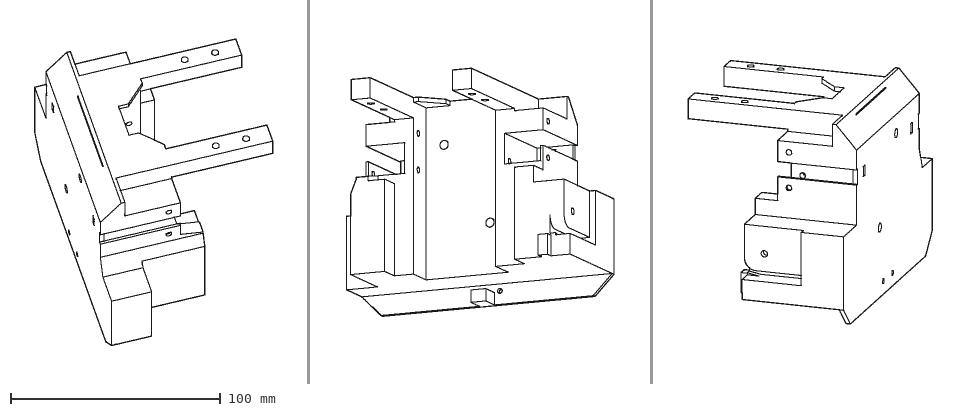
import cadquery as cq
LENGTH = 131.0
DEPTH = 90.0
HEIGHT = 96.0
CENTRE_X = LENGTH / 2

PLATE_THICKNESS = 2.2
CORNER_CHAMFER = 10.0
BODY_BOTTOM = CORNER_CHAMFER
UPPER_LEFT = 19.1
UPPER_RIGHT = LENGTH - UPPER_LEFT
UPPER_BACK = 39.8
LEDGE_HEIGHT = 85.0
LEDGE_FRONT = 12.2
BEVEL_DEPTH = 10.3
BEVEL_HEIGHT = 11.7
BEVEL_FOOT = HEIGHT - BEVEL_HEIGHT

GROOVE_LENGTH = 43.2
GROOVE_WIDTH = 0.4
GROOVE_HEIGHT = 93.9
GROOVE_DEPTH = 1.3

BLOCK_BACK = 51.1
LEFT_TOP = 46.8
RIGHT_TOP = 45.8
RIGHT_BACK = 19.9
RIGHT_WALL = 114.8
SLANT_FOOT = 116.2
SLANT_TOP = 56.2

ARM_WIDTH = 10.0
ARM_THICKNESS = 10.0
ARM_OUTER = 34.0
ARM_INNER = ARM_OUTER + ARM_WIDTH
ARM_HOLE_DIAMETER = 3.3
ARM_HOLE_POSITIONS = (63.1, 78.2)
THROAT_MOUTH = 37.7
THROAT_WIDTH = 17.8
THROAT_FRONT = 25.2
THROAT_SHOULDER = 30.0
BRIDGE_THICKNESS = PLATE_THICKNESS

STEP_TOP = 54.9
LEFT_STEP_END = 29.0
RIGHT_STEP_START = LENGTH - ARM_OUTER
RAMP_WIDTH = 6.3
RAMP_DROP = 2.4

SLOT_BOTTOM = 66.8
SLOT_TOP = 74.4
SLOT_FLOOR = 59.5
SLOT_LIP = 1.3
SLOT_END = 39.3
WINDOW_WIDTH = 2.2
WINDOW_HEIGHT = 5.0
WINDOW_OFFSET = 34.7
WINDOW_CENTRE_HEIGHT = 70.5

RECESS_FRONT = 21.4
RECESS_BOTTOM = 20.0
RECESS_DEPTH = 3.1
UNDERCUT_DEPTH = 10.5
PAD_BOTTOM = 24.1
PAD_RADIUS = 5.9
FLOOR_WEDGE_SIDE = 7.6
FLOOR_WEDGE_LENGTH = 5.9
FLOOR_WEDGE_RISE = 1.0
PAD_HOLE_DIAMETER = 3.1
PAD_HOLE_DEPTH = 3.0
PAD_HOLE_Y = 41.0
PAD_HOLE_Z = 33.0

TAB_LEFT = 10.0
TAB_WIDTH = 5.0
TAB_BACK = 55.2
LUG_WIDTH = 7.9
LUG_HEIGHT = 6.0

PLATE_HOLE_DIAMETER = 4.3
PLATE_HOLES = ((77.5, 74.9), (53.6, 35.0))
SCREW_HOLE_DIAMETER = 2.4
SCREW_HOLE_SPACING = 13.5
SCREW_HOLE_HEIGHT = 6.5
CROSS_HOLE_DIAMETER = 2.8
CROSS_HOLE_Y = 34.0
CROSS_HOLE_HEIGHTS = (61.8, 79.6)


def box(x_range, y_range, z_range):
    """Box spanning the given ranges."""
    size = [high - low for low, high in (x_range, y_range, z_range)]
    corner = (x_range[0], y_range[0], z_range[0])
    return cq.Workplane("XY").box(*size, centered=False).translate(corner)


def mirrored(solid):
    """Left-hand solid together with its mirror image across the middle of the length."""
    return solid.union(solid.mirror("YZ", (CENTRE_X, 0, 0)))


def hole_along_y(x, z, diameter):
    """Round cutter running through the full depth."""
    return cq.Workplane("XZ", origin=(x, 0, z)).circle(diameter / 2).extrude(-DEPTH)


def front_plate():
    outline = [
        (CORNER_CHAMFER, 0),
        (LENGTH - CORNER_CHAMFER, 0),
        (LENGTH, CORNER_CHAMFER),
        (LENGTH, RIGHT_TOP),
        (SLANT_FOOT, RIGHT_TOP),
        (UPPER_RIGHT, SLANT_TOP),
        (UPPER_RIGHT, BEVEL_FOOT),
        (UPPER_LEFT, BEVEL_FOOT),
        (UPPER_LEFT, LEFT_TOP),
        (0, LEFT_TOP),
        (0, CORNER_CHAMFER),
    ]
    return cq.Workplane("XZ").polyline(outline).close().extrude(-PLATE_THICKNESS)


def lower_body():
    left = box((0, LEFT_STEP_END), (0, BLOCK_BACK), (BODY_BOTTOM, LEFT_TOP))
    left_step = box((UPPER_LEFT, LEFT_STEP_END), (0, BLOCK_BACK), (BODY_BOTTOM, STEP_TOP))
    right_outline = [
        (RIGHT_STEP_START, BODY_BOTTOM),
        (LENGTH, BODY_BOTTOM),
        (LENGTH, RIGHT_TOP),
        (SLANT_FOOT, RIGHT_TOP),
        (UPPER_RIGHT, SLANT_TOP),
        (UPPER_RIGHT, STEP_TOP),
        (RIGHT_STEP_START, STEP_TOP),
    ]
    right = cq.Workplane("XZ").polyline(right_outline).close().extrude(-BLOCK_BACK)
    right = right.cut(box((RIGHT_WALL, LENGTH), (RIGHT_BACK, BLOCK_BACK), (0, HEIGHT)))
    ramp_outline = [
        (UPPER_BACK, STEP_TOP),
        (BLOCK_BACK, STEP_TOP),
        (BLOCK_BACK, SLOT_FLOOR - RAMP_DROP),
        (UPPER_BACK, SLOT_FLOOR),
    ]
    ramp = (
        cq.Workplane("YZ", origin=(UPPER_RIGHT - RAMP_WIDTH, 0, 0))
        .polyline(ramp_outline)
        .close()
        .extrude(RAMP_WIDTH)
    )
    return left.union(left_step).union(right).union(ramp)


def upper_body():
    profile = [
        (0, BODY_BOTTOM),
        (UPPER_BACK, BODY_BOTTOM),
        (UPPER_BACK, LEDGE_HEIGHT),
        (LEDGE_FRONT, LEDGE_HEIGHT),
        (LEDGE_FRONT, HEIGHT),
        (BEVEL_DEPTH, HEIGHT),
        (0, BEVEL_FOOT),
    ]
    return (
        cq.Workplane("YZ", origin=(UPPER_LEFT, 0, 0))
        .polyline(profile)
        .close()
        .extrude(UPPER_RIGHT - UPPER_LEFT)
    )


def arms():
    bridge = box((ARM_OUTER, LENGTH - ARM_OUTER), (LEDGE_FRONT, UPPER_BACK), (LEDGE_HEIGHT, HEIGHT))
    arm = box((ARM_OUTER, ARM_INNER), (LEDGE_FRONT, DEPTH), (HEIGHT - ARM_THICKNESS, HEIGHT))
    return bridge.union(mirrored(arm))


def tab():
    return box((TAB_LEFT, TAB_LEFT + TAB_WIDTH), (BLOCK_BACK, TAB_BACK), (BODY_BOTTOM, RECESS_BOTTOM))


def lug():
    x_range = (CENTRE_X - LUG_WIDTH / 2, CENTRE_X + LUG_WIDTH / 2)
    return box(x_range, (0, LEDGE_FRONT), (0, LUG_HEIGHT))


def throat():
    outline = [
        (CENTRE_X - THROAT_MOUTH / 2, UPPER_BACK),
        (CENTRE_X - THROAT_WIDTH / 2, THROAT_SHOULDER),
        (CENTRE_X - THROAT_WIDTH / 2, THROAT_FRONT),
        (CENTRE_X + THROAT_WIDTH / 2, THROAT_FRONT),
        (CENTRE_X + THROAT_WIDTH / 2, THROAT_SHOULDER),
        (CENTRE_X + THROAT_MOUTH / 2, UPPER_BACK),
    ]
    return cq.Workplane("XY").polyline(outline).close().extrude(HEIGHT)


def cavity():
    """Clearance below the bridge, as wide as the gap between the arms and open at the back."""
    x_range = (ARM_INNER, LENGTH - ARM_INNER)
    return box(x_range, (THROAT_FRONT, UPPER_BACK), (0, HEIGHT - BRIDGE_THICKNESS))


def side_slots():
    """Cutters that leave a thin upright lip along the outer edge of each slot's lowered floor."""
    inside = UPPER_LEFT + SLOT_LIP
    plate_notch = box((UPPER_LEFT, inside), (0, PLATE_THICKNESS), (SLOT_BOTTOM, SLOT_TOP))
    opening = box((UPPER_LEFT, SLOT_END), (PLATE_THICKNESS, UPPER_BACK), (SLOT_BOTTOM, SLOT_TOP))
    pocket = box((inside, SLOT_END), (PLATE_THICKNESS, UPPER_BACK), (SLOT_FLOOR, SLOT_TOP))
    window = cq.Workplane("XY").box(WINDOW_WIDTH, 2 * PLATE_THICKNESS, WINDOW_HEIGHT)
    window = window.translate((CENTRE_X - WINDOW_OFFSET, PLATE_THICKNESS, WINDOW_CENTRE_HEIGHT))
    return mirrored(plate_notch.union(opening).union(pocket).union(window))


def left_recess():
    """Cutter for the recess: the pad and a small wedge on the undercut's floor stay standing."""
    recess = box((0, UNDERCUT_DEPTH), (RECESS_FRONT, BLOCK_BACK), (RECESS_BOTTOM, LEFT_TOP))
    pad = box((RECESS_DEPTH, UNDERCUT_DEPTH), (RECESS_FRONT, BLOCK_BACK), (PAD_BOTTOM, LEFT_TOP))
    pad = pad.edges("|X and >Y and <Z").fillet(PAD_RADIUS)
    pad_hole = (
        cq.Workplane("YZ", origin=(RECESS_DEPTH, PAD_HOLE_Y, PAD_HOLE_Z))
        .circle(PAD_HOLE_DIAMETER / 2)
        .extrude(PAD_HOLE_DEPTH)
    )
    wedge_outline = [
        (BLOCK_BACK - FLOOR_WEDGE_LENGTH, RECESS_BOTTOM),
        (BLOCK_BACK, RECESS_BOTTOM),
        (BLOCK_BACK, RECESS_BOTTOM + FLOOR_WEDGE_RISE),
    ]
    floor_wedge = (
        cq.Workplane("YZ", origin=(FLOOR_WEDGE_SIDE, 0, 0))
        .polyline(wedge_outline)
        .close()
        .extrude(UNDERCUT_DEPTH - FLOOR_WEDGE_SIDE)
    )
    return recess.cut(pad).cut(floor_wedge).union(pad_hole)


def bevel_groove():
    y = (GROOVE_HEIGHT - BEVEL_FOOT) * BEVEL_DEPTH / BEVEL_HEIGHT
    outward = (0, -BEVEL_HEIGHT, BEVEL_DEPTH)
    face = cq.Plane(origin=(CENTRE_X, y, GROOVE_HEIGHT), xDir=(1, 0, 0), normal=outward)
    return cq.Workplane(face).rect(GROOVE_LENGTH, GROOVE_WIDTH).extrude(-GROOVE_DEPTH)


result = front_plate()
for feature in (lower_body(), upper_body(), arms(), tab(), lug()):
    result = result.union(feature)
for cutter in (throat(), cavity(), side_slots(), left_recess(), bevel_groove()):
    result = result.cut(cutter)

for x, z in PLATE_HOLES:
    result = result.cut(hole_along_y(x, z, PLATE_HOLE_DIAMETER))
for side in (-1, 1):
    x = CENTRE_X + side * SCREW_HOLE_SPACING / 2
    result = result.cut(hole_along_y(x, SCREW_HOLE_HEIGHT, SCREW_HOLE_DIAMETER))
for z in CROSS_HOLE_HEIGHTS:
    cross_hole = cq.Workplane("YZ", origin=(0, CROSS_HOLE_Y, z)).circle(CROSS_HOLE_DIAMETER / 2)
    result = result.cut(cross_hole.extrude(LENGTH))
for y in ARM_HOLE_POSITIONS:
    arm_hole = cq.Workplane("XY", origin=((ARM_OUTER + ARM_INNER) / 2, y, HEIGHT - ARM_THICKNESS))
    result = result.cut(mirrored(arm_hole.circle(ARM_HOLE_DIAMETER / 2).extrude(ARM_THICKNESS)))